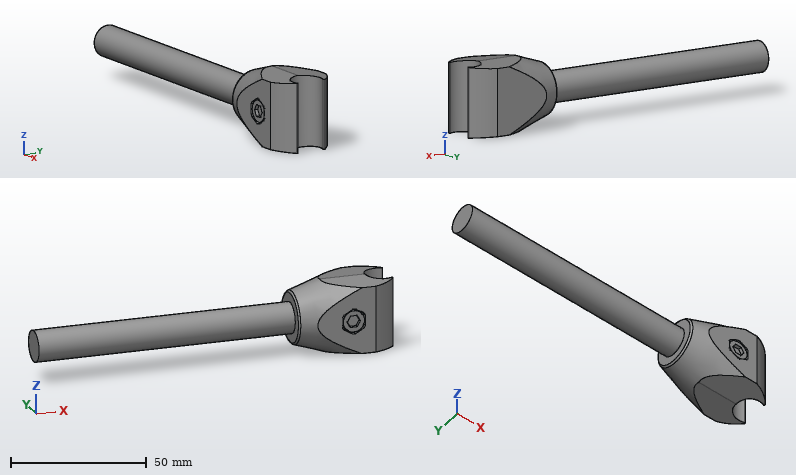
import cadquery as cq
import math

length = 138.0
head_width = 24.3
head_height = 27.5
edge_height = 25.7

rod_diameter = 12.0
head_start = 99.9
neck_radius = 10.2
neck_chamfer_length = 0.7
neck_chamfer_depth = 0.7
cone_half_angle = 17.8

slot_radius = 6.1
slot_center = 135.2
nose_start = 129.3
nose_mid_x = 133.9
nose_mid_y = 10.0
tip_half_gap = 6.2
tip_rounding = 0.21

screw_x = 120.8
screw_head_diameter = 8.3
pocket_flats = 8.8
pocket_corner_diameter = 9.7
pocket_depth = 2.1
screw_head_recess = 0.3
socket_flats = 4.4
socket_depth = 1.4


def make_rod():
    return cq.Workplane("YZ").circle(rod_diameter / 2).extrude(slot_center - slot_radius)


def make_cone():
    """Chamfered cone that widens until it encloses the whole head."""
    cone_start = head_start + neck_chamfer_length
    end_radius = neck_radius + (length - cone_start) * math.tan(math.radians(cone_half_angle))
    return (
        cq.Workplane("XY")
        .moveTo(head_start, 0)
        .lineTo(head_start, neck_radius - neck_chamfer_depth)
        .lineTo(cone_start, neck_radius)
        .lineTo(length, end_radius)
        .lineTo(length, 0)
        .close()
        .revolve(360, (0, 0, 0), (1, 0, 0))
    )


def make_ridged_bar():
    """Bar with flat sides and a shallow ridge along the middle of its top and bottom."""
    half_width = head_width / 2
    half_edge = edge_height / 2
    return (
        cq.Workplane("YZ", origin=(head_start, 0, 0))
        .moveTo(-half_width, -half_edge)
        .lineTo(0, -head_height / 2)
        .lineTo(half_width, -half_edge)
        .lineTo(half_width, half_edge)
        .lineTo(0, head_height / 2)
        .lineTo(-half_width, half_edge)
        .close()
        .extrude(length - head_start)
    )


def make_plan_outline():
    """Full-height block with the curved nose of the fork."""
    half_width = head_width / 2
    return (
        cq.Workplane("XY", origin=(0, 0, -head_height / 2))
        .moveTo(head_start, -half_width)
        .lineTo(nose_start, -half_width)
        .threePointArc((nose_mid_x, -nose_mid_y), (length, -tip_half_gap))
        .lineTo(length, tip_half_gap)
        .threePointArc((nose_mid_x, nose_mid_y), (nose_start, half_width))
        .lineTo(head_start, half_width)
        .close()
        .extrude(head_height)
    )


def make_slot():
    return (
        cq.Workplane("XY", origin=(slot_center, 0, -head_height / 2))
        .circle(slot_radius)
        .extrude(head_height)
    )


def side_plane(depth):
    """Sketch plane at the given depth below the -Y side; extrusion goes outwards."""
    return cq.Workplane("XZ", origin=(screw_x, depth - head_width / 2, 0))


def hexagon_diameter(flats):
    return flats / math.cos(math.pi / 6)


def add_screw(body):
    """Round screw head with a hexagon socket, inside a trimmed hexagonal pocket."""
    pocket = (
        side_plane(pocket_depth)
        .transformed(rotate=(0, 0, 90))
        .polygon(6, hexagon_diameter(pocket_flats))
        .extrude(pocket_depth)
        .intersect(side_plane(pocket_depth).circle(pocket_corner_diameter / 2).extrude(pocket_depth))
    )
    screw_head = (
        side_plane(pocket_depth)
        .circle(screw_head_diameter / 2)
        .extrude(pocket_depth - screw_head_recess)
    )
    socket = (
        side_plane(socket_depth + screw_head_recess)
        .polygon(6, hexagon_diameter(socket_flats))
        .extrude(socket_depth)
    )
    return body.cut(pocket).union(screw_head).cut(socket)


head = make_cone().intersect(make_ridged_bar()).intersect(make_plan_outline())
body = head.union(make_rod()).cut(make_slot())
body = body.faces(">X").edges("|Z").fillet(tip_rounding)
result = add_screw(body)